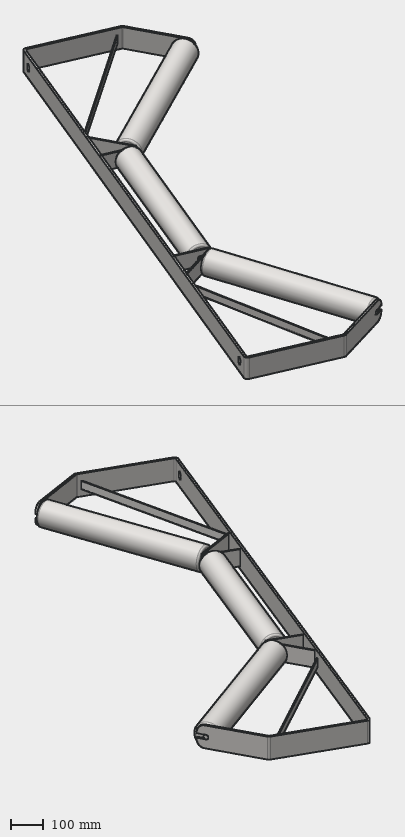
import cadquery as cq
import math

FRAME_LENGTH = 1800.0
FRAME_WIDTH = 80.0
FRAME_THICKNESS = 8.0
BEND_RADIUS = 13.0
KNEE_RADIUS = 13.0
BRACKET_THICKNESS = 5.0
BRACKET_WIDTH = 60.0

TROUGH_ANGLE = 40.0
ROLLER_DIAMETER = 88.0
ROLLER_LENGTH = 576.0
ROLLER_EDGE_RADIUS = 7.0
SHAFT_DIAMETER = 16.0
SLOT_REACH = 45.0
END_GAP = 2.0
CENTRE_ROLLER_Y = 99.0
WING_X = 540.0
WING_Y = 295.0

ARM_OVERHANG = 30.0
ARM_CORNER_RADIUS = 27.0
BRACKET_TOP = 130.0

BRACE_WIDTH = 29.0
BRACE_THICKNESS = 4.0
BRACE_TOP_Y = 311.0
BRACE_FOOT_X = 421.0

MOUNT_SLOT_X = 851.0
MOUNT_SLOT_WIDTH = 16.0
MOUNT_SLOT_LENGTH = 27.0

HALF_LENGTH = FRAME_LENGTH / 2
SIDE_INNER = HALF_LENGTH - FRAME_THICKNESS
FACE_OFFSET = ROLLER_LENGTH / 2 + END_GAP
ARM_OUTER = FACE_OFFSET + FRAME_THICKNESS
BRACKET_OUTER = FACE_OFFSET + BRACKET_THICKNESS

TILT = math.radians(TROUGH_ANGLE)
X_AXIS = cq.Vector(1, 0, 0)
Y_AXIS = cq.Vector(0, 1, 0)
Z_AXIS = cq.Vector(0, 0, 1)
AXIS = cq.Vector(math.cos(TILT), math.sin(TILT), 0)
ACROSS = cq.Vector(-math.sin(TILT), math.cos(TILT), 0)
CENTRE_ROLLER = Y_AXIS * CENTRE_ROLLER_Y
WING_CENTRE = cq.Vector(WING_X, WING_Y, 0)


def wing_point(along, across):
    """Point in the XY plane, measured from the middle of the right wing roller."""
    point = WING_CENTRE + AXIS * along + ACROSS * across
    return (point.x, point.y)


def wing_point_at_x(along, x):
    """Point with a given X on a line square to the wing roller."""
    return wing_point(along, (x - WING_X - AXIS.x * along) / ACROSS.x)


def wing_point_at_y(along, y):
    """Point with a given Y on a line square to the wing roller."""
    return wing_point(along, (y - WING_Y - AXIS.y * along) / ACROSS.y)


def mirrored(points):
    """The same points on the other side of X = 0, in reverse order."""
    return [(-x, y) for x, y in reversed(points)]


def bar(points, width):
    """Closed XY outline extruded evenly about Z = 0."""
    return cq.Workplane("XY").polyline(points).close().extrude(width / 2, both=True)


def both_sides(body):
    """A right-hand body and its mirror image."""
    return [body, body.mirror("YZ")]


def shaft_slot(seat, axis, up, depth):
    """Cutter with a round seat, open in the `up` direction."""
    plane = cq.Plane(origin=seat, xDir=up, normal=axis)
    round_seat = cq.Workplane(plane).circle(SHAFT_DIAMETER / 2).extrude(depth)
    mouth = (
        cq.Workplane(plane)
        .center(SLOT_REACH / 2, 0)
        .rect(SLOT_REACH, SHAFT_DIAMETER)
        .extrude(depth)
    )
    return round_seat.union(mouth)


def make_frame():
    base_corner = (HALF_LENGTH, 0)
    inner_corner = (SIDE_INNER, FRAME_THICKNESS)
    knee = wing_point_at_x(ARM_OUTER, HALF_LENGTH)
    inner_knee = wing_point_at_x(FACE_OFFSET, SIDE_INNER)
    tip = wing_point(ARM_OUTER, ARM_OVERHANG)
    inner_tip = wing_point(FACE_OFFSET, ARM_OVERHANG)
    right_half = [base_corner, knee, tip, inner_tip, inner_knee, inner_corner]
    frame = bar(right_half + mirrored(right_half), FRAME_WIDTH)

    frame = round_bend(frame, base_corner, BEND_RADIUS)
    frame = round_bend(frame, inner_corner, BEND_RADIUS - FRAME_THICKNESS)
    frame = round_bend(frame, knee, KNEE_RADIUS)
    frame = round_bend(frame, inner_knee, KNEE_RADIUS - FRAME_THICKNESS)
    frame = round_arm_tips(frame)

    seat = WING_CENTRE + AXIS * FACE_OFFSET
    for slot in both_sides(shaft_slot(seat, AXIS, ACROSS, FRAME_THICKNESS)):
        frame = frame.cut(slot)
    return frame.cut(mounting_slots())


def round_bend(frame, corner, radius):
    """Round the edge along Z at an XY corner, and its mirror image."""
    x, y = corner
    for corner_x in (x, -x):
        at_corner = cq.selectors.NearestToPointSelector((corner_x, y, 0))
        frame = frame.edges("|Z").edges(at_corner).fillet(radius)
    return frame


def round_arm_tips(frame):
    """Round both corners of each arm's free end."""
    tip_x, tip_y = wing_point(FACE_OFFSET + FRAME_THICKNESS / 2, ARM_OVERHANG)
    for side in (1, -1):
        through_arm = cq.selectors.ParallelDirSelector(cq.Vector(side * AXIS.x, AXIS.y, 0))
        for end in (1, -1):
            corner = (side * tip_x, tip_y, end * FRAME_WIDTH / 2)
            at_corner = cq.selectors.NearestToPointSelector(corner)
            frame = frame.edges(through_arm).edges(at_corner).fillet(ARM_CORNER_RADIUS)
    return frame


def mounting_slots():
    """Cutters for the upright slots near both ends of the base."""
    return (
        cq.Workplane("XZ")
        .pushPoints([(-MOUNT_SLOT_X, 0), (MOUNT_SLOT_X, 0)])
        .slot2D(MOUNT_SLOT_LENGTH, MOUNT_SLOT_WIDTH, 90)
        .extrude(-FRAME_THICKNESS)
    )


def make_bracket():
    outline = [
        (FACE_OFFSET, FRAME_THICKNESS),
        (FACE_OFFSET, BRACKET_TOP),
        wing_point_at_y(-FACE_OFFSET, BRACKET_TOP),
        wing_point_at_y(-FACE_OFFSET, FRAME_THICKNESS),
        wing_point_at_y(-BRACKET_OUTER, FRAME_THICKNESS),
        wing_point_at_x(-BRACKET_OUTER, BRACKET_OUTER),
        (BRACKET_OUTER, FRAME_THICKNESS),
    ]
    centre_seat = CENTRE_ROLLER + X_AXIS * FACE_OFFSET
    wing_seat = WING_CENTRE - AXIS * FACE_OFFSET
    centre_slot = shaft_slot(centre_seat, X_AXIS, Y_AXIS, BRACKET_THICKNESS)
    wing_slot = shaft_slot(wing_seat, AXIS * -1, ACROSS, BRACKET_THICKNESS)
    return bar(outline, BRACKET_WIDTH).cut(centre_slot).cut(wing_slot)


def make_brace():
    slope = math.atan2(BRACE_TOP_Y - FRAME_THICKNESS, SIDE_INNER - BRACE_FOOT_X)
    rise = BRACE_THICKNESS / math.cos(slope)
    run = BRACE_THICKNESS / math.sin(slope)
    return bar(
        [
            (BRACE_FOOT_X, FRAME_THICKNESS),
            (BRACE_FOOT_X + run, FRAME_THICKNESS),
            (SIDE_INNER, BRACE_TOP_Y - rise),
            (SIDE_INNER, BRACE_TOP_Y),
        ],
        BRACE_WIDTH,
    )


def make_roller(centre, axis, first_end, second_end):
    """Roller about `axis`; its shaft reaches back to `first_end` and forward to `second_end`."""
    def rod(diameter, start, length):
        plane = cq.Plane(origin=centre - axis * start, xDir=Z_AXIS, normal=axis)
        return cq.Workplane(plane).circle(diameter / 2).extrude(length)

    shell = rod(ROLLER_DIAMETER, ROLLER_LENGTH / 2, ROLLER_LENGTH)
    shell = shell.edges("%CIRCLE").fillet(ROLLER_EDGE_RADIUS)
    return shell.union(rod(SHAFT_DIAMETER, first_end, first_end + second_end))


frame = make_frame()
brackets = both_sides(make_bracket())
braces = both_sides(make_brace())

centre_roller = make_roller(CENTRE_ROLLER, X_AXIS, BRACKET_OUTER, BRACKET_OUTER)
wing_rollers = both_sides(make_roller(WING_CENTRE, AXIS, BRACKET_OUTER, ARM_OUTER))

bodies = [frame, centre_roller] + brackets + braces + wing_rollers
result = cq.Compound.makeCompound([body.val() for body in bodies])